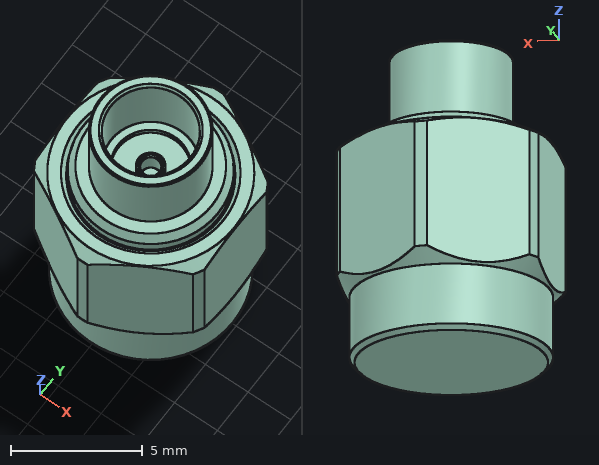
import cadquery as cq
import math

total_height = 12.19
hex_bottom = 2.61
hex_top = 8.51
flange_top = 9.1

across_flats = 7.94
hex_corner_radius = 4.45
barrel_radius = 3.88
barrel_chamfer = 0.2
top_face_radius = 3.94
top_chamfer_angle = 30.0
nut_bore_radius = 3.22
countersink = 0.2

flange_radius = 3.16
flange_chamfer_width = 0.29
flange_chamfer_height = 0.3
sleeve_radius = 2.35
sleeve_edge_chamfer = 0.06
cable_bore_radius = 1.87
cable_bore_chamfer = 0.11
cable_bore_bottom = flange_top

insulator_radius = 1.52
insulator_recess = 0.24
contact_radius = 0.56
socket_radius = 0.4
socket_chamfer = 0.07
socket_depth = 0.98


def revolve(profile):
    """Revolve a closed (radius, height) profile about the Z axis."""
    return cq.Workplane("XZ").polyline(profile).close().revolve(360, (0, 0), (0, 1))


def chamfered_bore(radius, bottom, top, chamfer):
    """Round cutter with a 45 degree widening at its top end."""
    return revolve([
        (0, bottom),
        (radius, bottom),
        (radius, top - chamfer),
        (radius + chamfer, top),
        (0, top),
    ])


def make_hex():
    """Hexagon with its points along Y, its corners turned round and both ends chamfered."""
    across_corners = across_flats / math.cos(math.radians(30))
    hex_height = hex_top - hex_bottom
    prism = (
        cq.Workplane("XY", origin=(0, 0, hex_bottom))
        .polygon(6, across_corners)
        .extrude(hex_height)
        .rotate((0, 0, 0), (0, 0, 1), 30)
    )
    top_drop = (hex_corner_radius - top_face_radius) * math.tan(math.radians(top_chamfer_angle))
    bottom_rise = hex_corner_radius - barrel_radius
    turned_envelope = revolve([
        (0, hex_bottom),
        (barrel_radius, hex_bottom),
        (hex_corner_radius, hex_bottom + bottom_rise),
        (hex_corner_radius, hex_top - top_drop),
        (top_face_radius, hex_top),
        (0, hex_top),
    ])
    return prism.intersect(turned_envelope)


def make_nut():
    """Round barrel and hexagon, with a countersunk opening around the flange."""
    barrel = cq.Workplane("XY").circle(barrel_radius).extrude(hex_bottom)
    barrel = barrel.faces("<Z").chamfer(barrel_chamfer)
    opening = revolve([
        (0, hex_top - countersink),
        (nut_bore_radius, hex_top - countersink),
        (nut_bore_radius + countersink, hex_top),
        (0, hex_top),
    ])
    return barrel.union(make_hex()).cut(opening)


def make_body():
    """Flange and sleeve standing on the floor of the nut opening."""
    return revolve([
        (0, hex_top - countersink),
        (flange_radius, hex_top - countersink),
        (flange_radius, flange_top - flange_chamfer_height),
        (flange_radius - flange_chamfer_width, flange_top),
        (sleeve_radius, flange_top),
        (sleeve_radius, total_height - sleeve_edge_chamfer),
        (sleeve_radius - sleeve_edge_chamfer, total_height),
        (0, total_height),
    ])


def make_cable_cavity():
    """Cable bore, the ring-shaped insulator recess below it and the contact socket."""
    bore = chamfered_bore(cable_bore_radius, cable_bore_bottom, total_height, cable_bore_chamfer)
    recess = (
        cq.Workplane("XY", origin=(0, 0, cable_bore_bottom - insulator_recess))
        .circle(insulator_radius)
        .circle(contact_radius)
        .extrude(insulator_recess)
    )
    socket = chamfered_bore(
        socket_radius, cable_bore_bottom - socket_depth, cable_bore_bottom, socket_chamfer
    )
    return bore.union(recess).union(socket)


result = make_nut().union(make_body()).cut(make_cable_cavity())